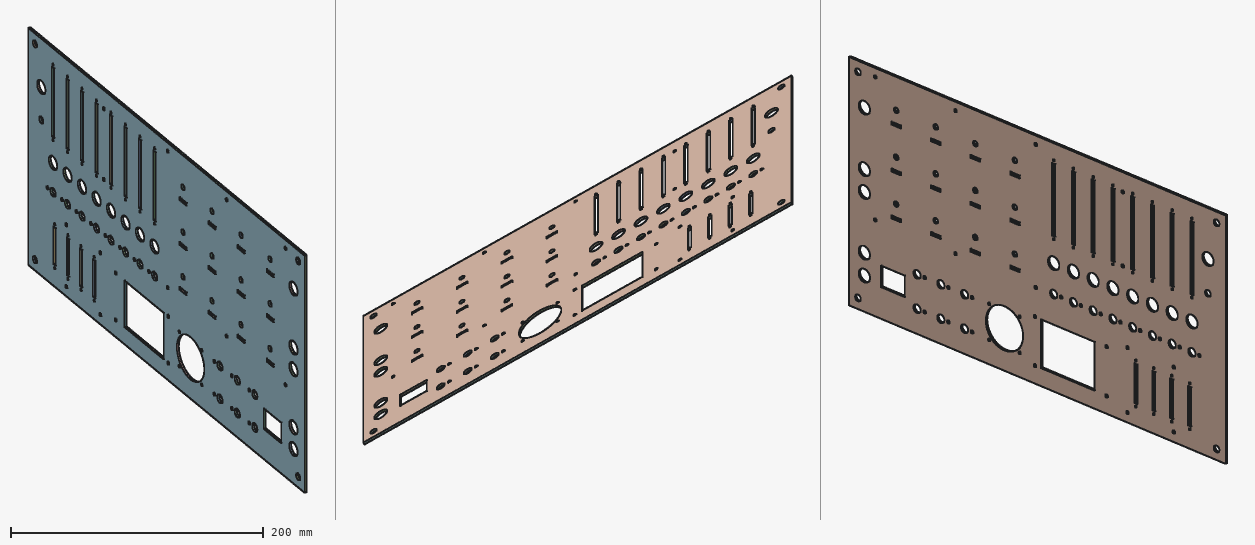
import cadquery as cq

PANEL_WIDTH = 400.0
PANEL_THICKNESS = 2.05
PANEL_HEIGHT = 222.5

CORNER_HOLE_DIAMETER = 6.0
CORNER_INSET_X = 9.5
CORNER_INSET_Z = 10.0

SOCKET_DIAMETER = 12.0
KNOB_DIAMETER = 7.5
LAMP_DIAMETER = 3.0
LAMP_OFFSET = 8.0
BOARD_SCREW_DIAMETER = 3.0
SLIDER_SCREW_DIAMETER = 1.8

CHANNEL_COUNT = 8
CHANNEL_SPAN = 147.0
CHANNEL_PITCH = CHANNEL_SPAN / (CHANNEL_COUNT - 1)
CHANNEL_CENTRE_X = -91.0
LONG_SLIDER_Z = 60.5
LONG_SLOT_WIDTH = 3.4
LONG_SLOT_LENGTH = 65.2
LONG_SLIDER_SCREW_SPACING = 71.0
CHANNEL_BOARD_SCREW_SPACING = 66.5
CHANNEL_SOCKET_Z = 3.5
CHANNEL_KNOB_Z = -24.0

PAD_COLUMNS = 4
PAD_ROWS = 3
PAD_PITCH = 42.0
PAD_CENTRE_X = 87.0
PAD_CENTRE_Z = 39.2
PAD_HOLE_DIAMETER = 5.0
PAD_SLOT_DROP = 13.2
PAD_SLOT_WIDTH = 10.0
PAD_SLOT_HEIGHT = 2.6
PAD_BOARD_SCREW_COLUMNS = 3
PAD_BOARD_SCREW_PITCH_X = 85.2
PAD_BOARD_SCREW_PITCH_Z = 128.0

LOWER_Z = -73.2

SHORT_SLIDER_COUNT = 4
SHORT_SLIDER_SPAN = 57.2
SHORT_SLIDER_PITCH = SHORT_SLIDER_SPAN / (SHORT_SLIDER_COUNT - 1)
SHORT_SLIDER_CENTRE_X = -133.2
SHORT_SLOT_WIDTH = 3.4
SHORT_SLOT_LENGTH = 35.2
SHORT_SLIDER_SCREW_SPACING = 41.2
SHORT_BOARD_CENTRE_X = -120.5
SHORT_BOARD_SCREW_PITCH_X = 49.2
SHORT_BOARD_SCREW_PITCH_Z = 58.0

DISPLAY_X = -32.5
DISPLAY_WIDTH = 57.0
DISPLAY_HEIGHT = 43.5
DISPLAY_SCREW_CENTRE_X = -35.5
DISPLAY_SCREW_PITCH_X = 76.0
DISPLAY_SCREW_PITCH_Z = 44.0

ROUND_OPENING_X = 35.0
ROUND_OPENING_DIAMETER = 39.5
ROUND_OPENING_SCREW_DIAMETER = 2.5
ROUND_OPENING_SCREW_PITCH = 32.5

LOWER_KNOB_COLUMNS = 3
LOWER_KNOB_ROWS = 2
LOWER_KNOB_CENTRE_X = 102.5
LOWER_KNOB_PITCH_X = 25.2
LOWER_KNOB_PITCH_Z = 31.0

WINDOW_X = 153.2
WINDOW_WIDTH = 25.2
WINDOW_HEIGHT = 19.2

RIGHT_SOCKET_X = 183.5
RIGHT_SOCKET_HEIGHTS = (71.5, 16.5, -4.0, -58.5, -79.0)
LEFT_COLUMN_X = -181.2
LEFT_SOCKET_Z = 65.5
LEFT_SMALL_HOLE_Z = 35.0
LEFT_SMALL_HOLE_DIAMETER = 6.0


def grid(centre_x, centre_z, columns, rows, pitch_x, pitch_z):
    """Points of a rectangular grid centred on (centre_x, centre_z)."""
    return [
        (
            centre_x + (column - (columns - 1) / 2) * pitch_x,
            centre_z + (row - (rows - 1) / 2) * pitch_z,
        )
        for column in range(columns)
        for row in range(rows)
    ]


def row_of(count, centre_x, z, pitch):
    """Evenly spaced points along a horizontal line."""
    return grid(centre_x, z, count, 1, pitch, 0)


def shifted(points, dx, dz):
    return [(x + dx, z + dz) for x, z in points]


def cutting_plane():
    return cq.Workplane("XZ")


def drill(panel, points, diameter):
    """Cut round through holes at the given points."""
    tools = cutting_plane().pushPoints(points).circle(diameter / 2)
    return panel.cut(tools.extrude(PANEL_THICKNESS, both=True))


def cut_rectangles(panel, points, width, height):
    """Cut rectangular through openings centred on the given points."""
    tools = cutting_plane().pushPoints(points).rect(width, height)
    return panel.cut(tools.extrude(PANEL_THICKNESS, both=True))


def cut_knobs(panel, points):
    """Cut knob holes, each with a lamp hole to its left."""
    panel = drill(panel, points, KNOB_DIAMETER)
    return drill(panel, shifted(points, -LAMP_OFFSET, 0), LAMP_DIAMETER)


def cut_sliders(panel, points, width, length, screw_spacing):
    """Cut vertical slider slots, each with a screw hole above and below."""
    panel = cut_rectangles(panel, points, width, length)
    for dz in (-screw_spacing / 2, screw_spacing / 2):
        panel = drill(panel, shifted(points, 0, dz), SLIDER_SCREW_DIAMETER)
    return panel


def cut_corner_holes(panel):
    pitch_x = PANEL_WIDTH - 2 * CORNER_INSET_X
    pitch_z = PANEL_HEIGHT - 2 * CORNER_INSET_Z
    return drill(panel, grid(0, 0, 2, 2, pitch_x, pitch_z), CORNER_HOLE_DIAMETER)


def cut_channels(panel):
    sliders = row_of(CHANNEL_COUNT, CHANNEL_CENTRE_X, LONG_SLIDER_Z, CHANNEL_PITCH)
    sockets = row_of(CHANNEL_COUNT, CHANNEL_CENTRE_X, CHANNEL_SOCKET_Z, CHANNEL_PITCH)
    knobs = row_of(CHANNEL_COUNT, CHANNEL_CENTRE_X, CHANNEL_KNOB_Z, CHANNEL_PITCH)
    screws = grid(CHANNEL_CENTRE_X, LONG_SLIDER_Z, 1, 2, 0, CHANNEL_BOARD_SCREW_SPACING)
    panel = cut_sliders(panel, sliders, LONG_SLOT_WIDTH, LONG_SLOT_LENGTH, LONG_SLIDER_SCREW_SPACING)
    panel = drill(panel, sockets, SOCKET_DIAMETER)
    panel = cut_knobs(panel, knobs)
    return drill(panel, screws, BOARD_SCREW_DIAMETER)


def cut_pads(panel):
    holes = grid(PAD_CENTRE_X, PAD_CENTRE_Z, PAD_COLUMNS, PAD_ROWS, PAD_PITCH, PAD_PITCH)
    slots = shifted(holes, 0, -PAD_SLOT_DROP)
    screws = grid(
        PAD_CENTRE_X, PAD_CENTRE_Z,
        PAD_BOARD_SCREW_COLUMNS, 2,
        PAD_BOARD_SCREW_PITCH_X, PAD_BOARD_SCREW_PITCH_Z,
    )
    panel = drill(panel, holes, PAD_HOLE_DIAMETER)
    panel = cut_rectangles(panel, slots, PAD_SLOT_WIDTH, PAD_SLOT_HEIGHT)
    return drill(panel, screws, BOARD_SCREW_DIAMETER)


def cut_short_sliders(panel):
    sliders = row_of(SHORT_SLIDER_COUNT, SHORT_SLIDER_CENTRE_X, LOWER_Z, SHORT_SLIDER_PITCH)
    screws = grid(
        SHORT_BOARD_CENTRE_X, LOWER_Z,
        2, 2,
        SHORT_BOARD_SCREW_PITCH_X, SHORT_BOARD_SCREW_PITCH_Z,
    )
    panel = cut_sliders(panel, sliders, SHORT_SLOT_WIDTH, SHORT_SLOT_LENGTH, SHORT_SLIDER_SCREW_SPACING)
    return drill(panel, screws, BOARD_SCREW_DIAMETER)


def cut_display(panel):
    screws = grid(
        DISPLAY_SCREW_CENTRE_X, LOWER_Z,
        2, 2,
        DISPLAY_SCREW_PITCH_X, DISPLAY_SCREW_PITCH_Z,
    )
    panel = cut_rectangles(panel, [(DISPLAY_X, LOWER_Z)], DISPLAY_WIDTH, DISPLAY_HEIGHT)
    return drill(panel, screws, BOARD_SCREW_DIAMETER)


def cut_round_opening(panel):
    pitch = ROUND_OPENING_SCREW_PITCH
    screws = grid(ROUND_OPENING_X, LOWER_Z, 2, 2, pitch, pitch)
    panel = drill(panel, [(ROUND_OPENING_X, LOWER_Z)], ROUND_OPENING_DIAMETER)
    return drill(panel, screws, ROUND_OPENING_SCREW_DIAMETER)


def cut_lower_knobs(panel):
    knobs = grid(
        LOWER_KNOB_CENTRE_X, LOWER_Z,
        LOWER_KNOB_COLUMNS, LOWER_KNOB_ROWS,
        LOWER_KNOB_PITCH_X, LOWER_KNOB_PITCH_Z,
    )
    return cut_knobs(panel, knobs)


def cut_window(panel):
    return cut_rectangles(panel, [(WINDOW_X, LOWER_Z)], WINDOW_WIDTH, WINDOW_HEIGHT)


def cut_side_sockets(panel):
    sockets = [(RIGHT_SOCKET_X, z) for z in RIGHT_SOCKET_HEIGHTS]
    sockets.append((LEFT_COLUMN_X, LEFT_SOCKET_Z))
    panel = drill(panel, sockets, SOCKET_DIAMETER)
    return drill(panel, [(LEFT_COLUMN_X, LEFT_SMALL_HOLE_Z)], LEFT_SMALL_HOLE_DIAMETER)


result = cq.Workplane("XY").box(PANEL_WIDTH, PANEL_THICKNESS, PANEL_HEIGHT)
result = cut_corner_holes(result)
result = cut_channels(result)
result = cut_pads(result)
result = cut_short_sliders(result)
result = cut_display(result)
result = cut_round_opening(result)
result = cut_lower_knobs(result)
result = cut_window(result)
result = cut_side_sockets(result)